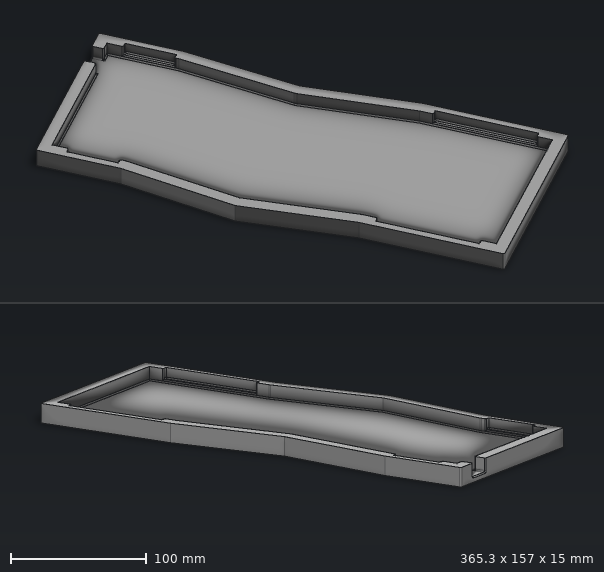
import cadquery as cq

LENGTH = 365.3
HEIGHT = 15.0

BEND_LEFT_X = 66.0
APEX_X = 159.5
BEND_RIGHT_X = 252.0
BACK_Y = 157.0
BACK_APEX_Y = 147.0
FRONT_LEFT_Y = 13.5
FRONT_RIGHT_Y = 11.0
CORNER_RADIUS = 1.5

WALL = 9.5
FLOOR = 4.5
CHAMFER = 1.0
CAVITY_FRONT_Y = (FRONT_LEFT_Y + WALL, FRONT_RIGHT_Y + WALL)
CAVITY_BACK_Y = BACK_Y - WALL

RECESS_SPANS = ((22.3, 62.0), (263.5, 343.7))
RECESS_DEPTH = 4.0
RECESS_FLOOR = 6.5

NOTCH_Y_MIN = 123.0
NOTCH_Y_MAX = 140.5
NOTCH_FILLET = 1.0

BEVEL = 0.9
BEVEL_ANGLE = 45


def outline():
    """Closed plan outline of the tray with its bent front and back sides."""
    return (
        cq.Workplane("XY")
        .moveTo(0, FRONT_LEFT_Y)
        .lineTo(BEND_LEFT_X, FRONT_LEFT_Y)
        .lineTo(APEX_X, 0)
        .lineTo(BEND_RIGHT_X, FRONT_RIGHT_Y)
        .lineTo(LENGTH, FRONT_RIGHT_Y)
        .lineTo(LENGTH, BACK_Y)
        .lineTo(BEND_RIGHT_X, BACK_Y)
        .lineTo(APEX_X, BACK_APEX_Y)
        .lineTo(BEND_LEFT_X, BACK_Y)
        .lineTo(0, BACK_Y)
        .close()
    )


def block(x_min, x_max, y_min, y_max, z_min):
    """Box from z_min to well above the rim."""
    size = (x_max - x_min, y_max - y_min, HEIGHT)
    return cq.Workplane("XY").box(*size, centered=False).translate((x_min, y_min, z_min))


def make_body():
    body = outline().extrude(HEIGHT)
    return body.edges("|Z and (<X or >X)").fillet(CORNER_RADIUS)


def make_cavity():
    cavity = outline().offset2D(-WALL).extrude(HEIGHT)
    return cavity.faces("<Z").chamfer(CHAMFER).translate((0, 0, FLOOR))


def make_recess(x_span, wall_y, outward):
    """Ledge cut into the cavity wall; outward is +1 on the back wall, -1 on the front."""
    x_min, x_max = x_span
    far_y = wall_y + outward * RECESS_DEPTH
    near_y = wall_y - outward * WALL
    pocket = block(x_min, x_max, min(far_y, near_y), max(far_y, near_y), RECESS_FLOOR)
    pocket = pocket.faces("<Z").chamfer(CHAMFER)
    flare = (
        cq.Workplane("XZ", origin=((x_min + x_max) / 2, wall_y, RECESS_FLOOR + HEIGHT))
        .rect(x_max - x_min + 2 * BEVEL, 2 * (HEIGHT + BEVEL))
        .extrude(-outward * BEVEL, taper=BEVEL_ANGLE)
    )
    return pocket.union(flare)


def notch_section(x, grow):
    """Round-bottomed notch section, grown all round by grow, on the plane at x."""
    section = (
        cq.Sketch()
        .rect(NOTCH_Y_MAX - NOTCH_Y_MIN + 2 * grow, 2 * (HEIGHT + grow))
        .vertices("<Y")
        .fillet(NOTCH_FILLET + grow)
    )
    centre = (x, (NOTCH_Y_MIN + NOTCH_Y_MAX) / 2, FLOOR + HEIGHT)
    return cq.Workplane("YZ", origin=centre).placeSketch(section)


def make_notch():
    """Channel through the -X wall, flared at both faces but level with the cavity floor inside."""
    channel = notch_section(0, 0).extrude(WALL + CHAMFER)
    outer_flare = notch_section(0, BEVEL).extrude(BEVEL, taper=BEVEL_ANGLE)
    inner_flare = notch_section(WALL, BEVEL).extrude(-BEVEL, taper=BEVEL_ANGLE)
    above_floor = block(0, WALL, 0, BACK_Y, FLOOR)
    return channel.union(outer_flare).union(inner_flare.intersect(above_floor))


body = make_body().cut(make_cavity())
for x_span, front_y in zip(RECESS_SPANS, CAVITY_FRONT_Y):
    body = body.cut(make_recess(x_span, front_y, -1))
    body = body.cut(make_recess(x_span, CAVITY_BACK_Y, 1))

result = body.cut(make_notch())